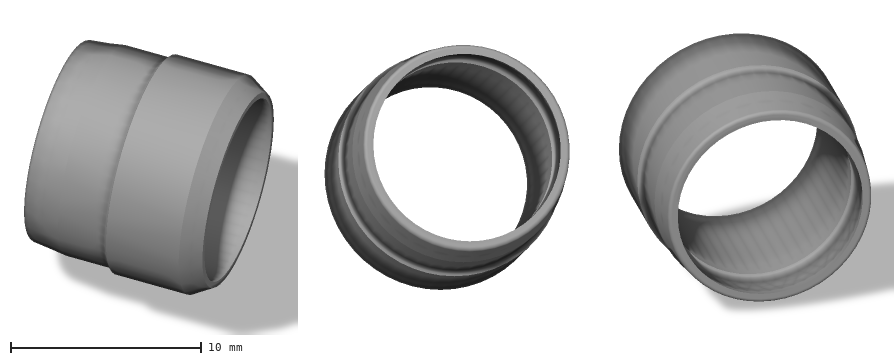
import cadquery as cq
import math

length = 10.0
bore_radius = 10.0 / 2
body_radius = 12 / 2
neck_radius = 11.5 / 2

rim_radius = 5.3
rim_round_length = 0.18
rim_round_mid = (0.05, 5.44)
taper_start_radius = 5.51
taper_end = 2.06

blend_start = 4.42
shoulder = 4.84

chamfer_length = 1.08
chamfer_depth = 0.67

recess_radius = 5.27
recess_end = taper_end
step_end = 2.53


def midpoint_of_axial_arc(axial_end, other_end):
    """Midpoint of the arc that runs parallel to X at axial_end and meets other_end."""
    run = other_end[0] - axial_end[0]
    rise = other_end[1] - axial_end[1]
    sweep = 2 * math.atan2(abs(rise), abs(run))
    radius = abs(run) / math.sin(sweep)
    mid_run = math.copysign(radius * math.sin(sweep / 2), run)
    mid_rise = math.copysign(radius * (1 - math.cos(sweep / 2)), rise)
    return (axial_end[0] + mid_run, axial_end[1] + mid_rise)


mouth_edge = (0, bore_radius)
recess_crest = (recess_end, recess_radius)
step_edge = (step_end, bore_radius)
blend_foot = (blend_start, neck_radius)
shoulder_edge = (shoulder, body_radius)

profile = (
    cq.Workplane("XY")
    .moveTo(*mouth_edge)
    .lineTo(0, rim_radius)
    .threePointArc(rim_round_mid, (rim_round_length, taper_start_radius))
    .lineTo(taper_end, neck_radius)
    .lineTo(*blend_foot)
    .threePointArc(midpoint_of_axial_arc(blend_foot, shoulder_edge), shoulder_edge)
    .lineTo(length - chamfer_length, body_radius)
    .lineTo(length, body_radius - chamfer_depth)
    .lineTo(length, bore_radius)
    .lineTo(*step_edge)
    .threePointArc(midpoint_of_axial_arc(recess_crest, step_edge), recess_crest)
    .threePointArc(midpoint_of_axial_arc(recess_crest, mouth_edge), mouth_edge)
    .close()
)
result = profile.revolve(360, (0, 0, 0), (1, 0, 0))